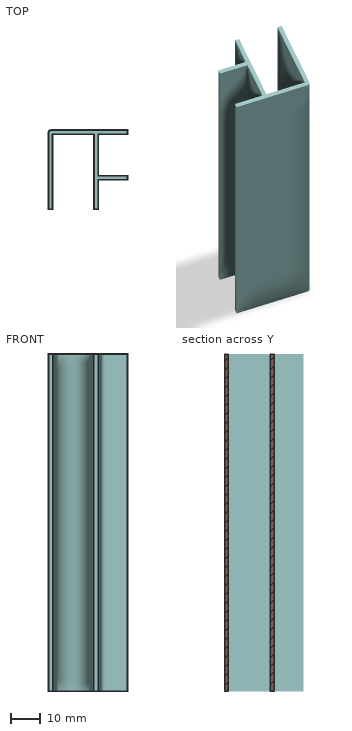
import cadquery as cq

length = 115.0
side = 27.0
wall = 1.5
channel = 14.0
corner_radius = 1.0

offset = wall + channel


def plate(x, y, width, depth):
    """Full-length plate with its front-left corner at (x, y)."""
    return cq.Workplane("XY").box(width, depth, length, centered=False).translate((x, y, 0))


back = plate(0, side - wall, side, wall)
left = plate(0, 0, wall, side)
web = plate(offset, 0, wall, side)
shelf = plate(offset, side - offset - wall, side - offset, wall)

angle = back.union(left).edges(
    cq.selectors.NearestToPointSelector((0, side, length / 2))
).fillet(corner_radius)

result = angle.union(web).union(shelf)